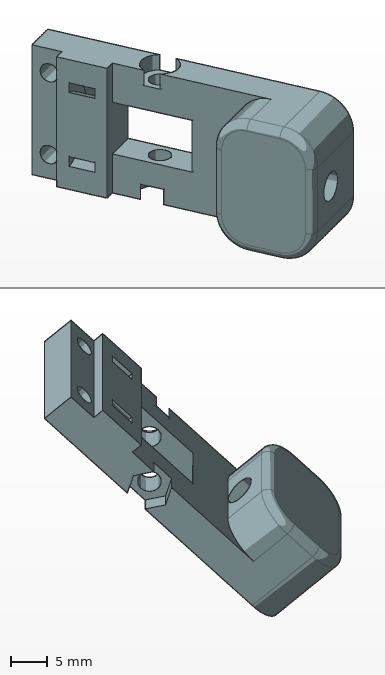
import cadquery as cq

LENGTH = 46.3
HEIGHT = 20.15
PLATE_THICKNESS = 5.0
MID_HEIGHT = HEIGHT / 2
MID_PLATE = -PLATE_THICKNESS / 2

PAD_START = 4.55
PAD_END = 12.2
PAD_FRONT = 6.65

HEAD_WIDTH = 15.2
HEAD_DEPTH = 12.6
CORNER_RADIUS = 5.1
HEAD_EDGE_RADIUS = 1.25
HEAD_HOLE_DIAMETER = 4.3
HEAD_HOLE_FROM_BACK = 7.23

WINDOW_END = 24.23
WINDOW_HEIGHT = 8.0

MOUNT_DIAMETER = 2.8
MOUNT_X = 2.65
MOUNT_SPACING = 12.7

BOLT_X = 18.2
BOLT_DIAMETER = 3.2
BOLT_HEAD_DIAMETER = 5.55
NUT_ACROSS_CORNERS = 6.4
SEAT_DEPTH = 2.35

TIE_START = 6.45
TIE_WIDTH = 3.9
TIE_AXIS_GAP = 0.85
TIE_OUTER_RADIUS = 6.55
TIE_INNER_RADIUS = 5.05


def block(x_start, x_end, depth, z_start, z_end):
    """Box from the back face toward the front."""
    size = (x_end - x_start, depth, z_end - z_start)
    return cq.Workplane("XY").box(*size, centered=False).translate((x_start, -depth, z_start))


def make_body():
    plate = block(0, LENGTH, PLATE_THICKNESS, 0, HEIGHT).edges("|Y and >X").fillet(CORNER_RADIUS)
    pad = block(PAD_START, PAD_END, PAD_FRONT, 0, HEIGHT)
    head = block(LENGTH - HEAD_WIDTH, LENGTH, HEAD_DEPTH, 0, HEIGHT)
    head = head.edges("|Y").fillet(CORNER_RADIUS).faces("<Y").edges().fillet(HEAD_EDGE_RADIUS)
    return plate.union(pad).union(head)


def make_window():
    outline = [
        (PAD_END, 0),
        (WINDOW_END + PLATE_THICKNESS, 0),
        (WINDOW_END, -PLATE_THICKNESS),
        (PAD_END, -PLATE_THICKNESS),
    ]
    base = cq.Workplane("XY").workplane(offset=MID_HEIGHT - WINDOW_HEIGHT / 2)
    return base.polyline(outline).close().extrude(WINDOW_HEIGHT)


def make_mount_holes():
    centers = [(MOUNT_X, MID_HEIGHT + side * MOUNT_SPACING / 2) for side in (-1, 1)]
    return cq.Workplane("XZ").pushPoints(centers).circle(MOUNT_DIAMETER / 2).extrude(PLATE_THICKNESS)


def make_bolt_cut():
    axis = cq.Workplane("XY").center(BOLT_X, MID_PLATE)
    hole = axis.circle(BOLT_DIAMETER / 2).extrude(HEIGHT)
    nut_seat = axis.polygon(6, NUT_ACROSS_CORNERS).extrude(SEAT_DEPTH)
    head_seat = axis.workplane(offset=HEIGHT - SEAT_DEPTH).circle(BOLT_HEAD_DIAMETER / 2).extrude(SEAT_DEPTH)
    return hole.union(nut_seat).union(head_seat)


def make_head_hole():
    start = cq.Workplane("YZ").center(-HEAD_HOLE_FROM_BACK, MID_HEIGHT)
    return start.workplane(offset=LENGTH - HEAD_WIDTH).circle(HEAD_HOLE_DIAMETER / 2).extrude(HEAD_WIDTH)


def make_tie_channel():
    axis = cq.Workplane("YZ").workplane(offset=TIE_START).center(-PAD_FRONT - TIE_AXIS_GAP, MID_HEIGHT)
    return axis.circle(TIE_OUTER_RADIUS).circle(TIE_INNER_RADIUS).extrude(TIE_WIDTH)


result = make_body()
for cut in (make_window(), make_mount_holes(), make_bolt_cut(), make_head_hole(), make_tie_channel()):
    result = result.cut(cut)